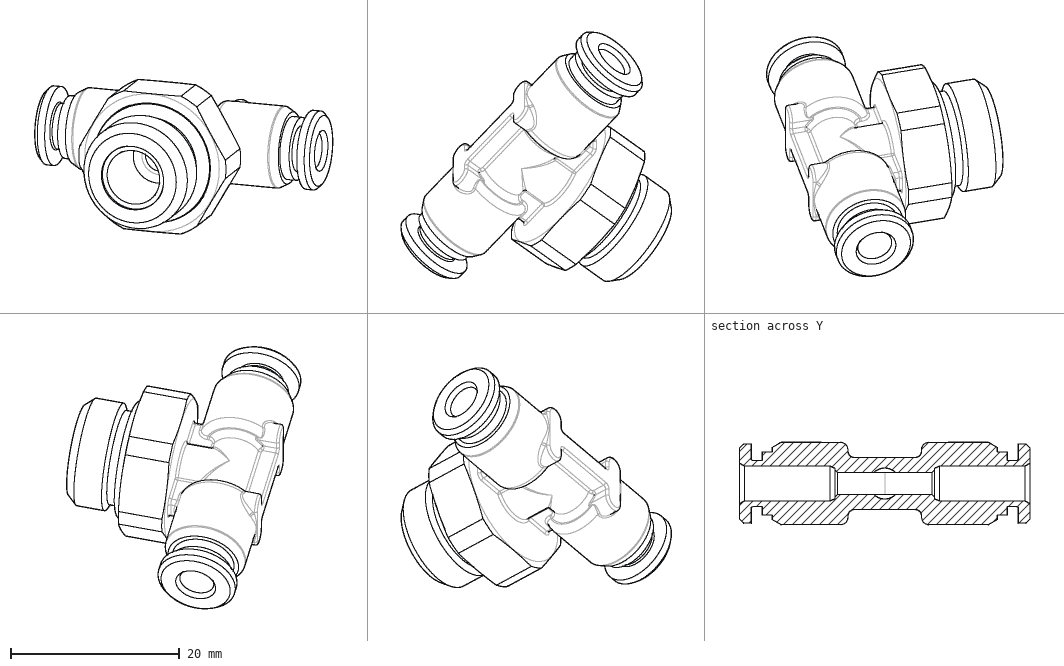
import cadquery as cq
import math

RUN_HALF_LENGTH = 17.25
TUBE_RADIUS = 4.9
WAIST_RADIUS = 3.1
WAIST_HALF_LENGTH = 3.6
SHOULDER_OUTER_ROUND = 0.86
SHOULDER_INNER_ROUND = 0.75
TUBE_HALF_LENGTH = 13.36
TUBE_END_RADIUS = 4.3
TUBE_CONE_LENGTH = 1.05
TUBE_CONE_ROUND = 0.3

COLLAR_SLEEVE_RADIUS = 3.76
COLLAR_SLEEVE_END = 14.53
COLLAR_NECK_RADIUS = 2.74
COLLAR_NECK_FLARE = 0.25
COLLAR_NECK_FLARE_RADIUS = 2.85
COLLAR_FLANGE_RADIUS = 4.72
COLLAR_FLANGE_START = 15.82
COLLAR_FLANGE_CHAMFER = 0.5

CROSS_BORE_RADIUS = 1.28
SOCKET_RADIUS = 2.07
SOCKET_MOUTH_RADIUS = 2.43
SOCKET_MOUTH_DEPTH = 0.6
SOCKET_FLOOR = 6.5
SOCKET_CONE_RADIUS = 1.8
SOCKET_CONE_LENGTH = 0.6
SEAT_RADIUS = 1.55

PAD_FACE = 5.0
PAD_ROOT = 2.0
PEG_OFFSET = 5.6
PEG_RADIUS = 1.3
PEG_HALF_HEIGHT = 4.0
WEB_HALF_THICKNESS = 1.38
PAD_CORNER_ROUND = 0.4
PAD_EDGE_ROUND = 0.3
PAD_ROOT_ROUND = 0.4

RIB_HALF_WIDTH = 6.5
RIB_CORNER_ROUND = 0.5
RIB_ROOT_ROUND = 0.3

HEX_BACK = 5.9
HEX_FRONT = 11.5
HEX_ACROSS_FLATS = 17.0
HEX_CORNER_RADIUS = 9.23
HEX_FACE_RADIUS = 8.45
HEX_CHAMFER_DEPTH = 0.15
NECK_RADIUS = 5.7
THREAD_START = 13.6
THREAD_RADIUS = 6.5
THREAD_RUN_IN = 0.45
STUD_END = 18.55
STUD_END_RADIUS = 5.5
STUD_END_CHAMFER = 1.13

BRANCH_BORE_RADIUS = 1.82
STUD_BORE_MOUTH_RADIUS = 3.3
STUD_BORE_FLOOR_RADIUS = 3.04
STUD_BORE_FLOOR = 9.5
STUD_CONE_END_RADIUS = 2.16
STUD_CONE_LENGTH = 0.6
BRANCH_MOUTH_LENGTH = 0.3
COUNTERBORE_RADIUS = 3.9
COUNTERBORE_DEPTH = 0.35

RING_SECTION_RADIUS = 0.78
RING_CENTRE_RADIUS = NECK_RADIUS + RING_SECTION_RADIUS
RING_STATION = 11.7
RING_RECESS_CLEARANCE = 0.08

PICK_MARGIN = 0.01
EDGE_DECIMALS = 3


def turned_about_x(outline):
    """Revolve a closed XY outline around the run axis."""
    return outline.close().revolve(360, (0, 0, 0), (1, 0, 0))


def turned_about_y(points):
    """Revolve (radius, station) points around the stud axis; stations run along -Y."""
    outline = cq.Workplane("XY").polyline([(radius, -station) for radius, station in points])
    return outline.close().revolve(360, (0, 0, 0), (0, 1, 0))


def both_sides(half):
    """Join a +X half with its mirror image."""
    return half.union(half.mirror("YZ"))


def run_core():
    inner_end = WAIST_HALF_LENGTH + SHOULDER_INNER_ROUND
    outer_end = inner_end + SHOULDER_OUTER_ROUND
    cone_start = TUBE_HALF_LENGTH - TUBE_CONE_LENGTH
    half = turned_about_x(
        cq.Workplane("XY")
        .moveTo(0, 0)
        .lineTo(0, WAIST_RADIUS)
        .lineTo(WAIST_HALF_LENGTH, WAIST_RADIUS)
        .radiusArc((inner_end, WAIST_RADIUS + SHOULDER_INNER_ROUND), -SHOULDER_INNER_ROUND)
        .lineTo(inner_end, TUBE_RADIUS - SHOULDER_OUTER_ROUND)
        .radiusArc((outer_end, TUBE_RADIUS), SHOULDER_OUTER_ROUND)
        .lineTo(cone_start, TUBE_RADIUS)
        .lineTo(TUBE_HALF_LENGTH, TUBE_END_RADIUS)
        .lineTo(TUBE_HALF_LENGTH, 0)
    )
    reach = TUBE_RADIUS + PICK_MARGIN
    cone_edge = cq.selectors.BoxSelector(
        (cone_start - PICK_MARGIN, -reach, -reach),
        (cone_start + PICK_MARGIN, reach, reach),
        boundingbox=True,
    )
    return both_sides(half.edges(cone_edge).fillet(TUBE_CONE_ROUND))


def collars():
    flange_rim = COLLAR_FLANGE_RADIUS - COLLAR_FLANGE_CHAMFER
    half = turned_about_x(
        cq.Workplane("XY")
        .moveTo(TUBE_HALF_LENGTH, 0)
        .lineTo(TUBE_HALF_LENGTH, COLLAR_SLEEVE_RADIUS)
        .lineTo(COLLAR_SLEEVE_END, COLLAR_SLEEVE_RADIUS)
        .lineTo(COLLAR_SLEEVE_END, COLLAR_NECK_RADIUS)
        .lineTo(COLLAR_FLANGE_START - COLLAR_NECK_FLARE, COLLAR_NECK_RADIUS)
        .lineTo(COLLAR_FLANGE_START, COLLAR_NECK_FLARE_RADIUS)
        .lineTo(COLLAR_FLANGE_START, COLLAR_FLANGE_RADIUS)
        .lineTo(RUN_HALF_LENGTH - COLLAR_FLANGE_CHAMFER, COLLAR_FLANGE_RADIUS)
        .lineTo(RUN_HALF_LENGTH, flange_rim)
        .lineTo(RUN_HALF_LENGTH, 0)
    )
    return both_sides(half)


def back_pad():
    """Two upright round-ended pegs joined by a flat web."""
    plane = cq.Workplane("XZ", origin=(0, PAD_ROOT, 0))
    depth = PAD_FACE - PAD_ROOT
    web = plane.rect(2 * PEG_OFFSET, 2 * WEB_HALF_THICKNESS).extrude(-depth)
    pegs = (
        plane.pushPoints([(-PEG_OFFSET, 0), (PEG_OFFSET, 0)])
        .slot2D(2 * PEG_HALF_HEIGHT, 2 * PEG_RADIUS, 90)
        .extrude(-depth)
    )
    pad = web.union(pegs)
    corner_x = PEG_OFFSET - PEG_RADIUS + PICK_MARGIN
    corner_z = WEB_HALF_THICKNESS + PICK_MARGIN
    corners = cq.selectors.BoxSelector((-corner_x, PAD_ROOT, -corner_z), (corner_x, PAD_FACE, corner_z))
    pad = pad.edges("|Y").edges(corners).fillet(PAD_CORNER_ROUND)
    return pad.faces(">Y").edges().fillet(PAD_EDGE_ROUND)


def rib():
    plate = cq.Workplane("XZ").rect(2 * RIB_HALF_WIDTH, 2 * WEB_HALF_THICKNESS).extrude(HEX_BACK)
    return plate.edges("|Y").fillet(RIB_CORNER_ROUND)


def hexagon():
    length = HEX_FRONT - HEX_BACK
    corner_diameter = HEX_ACROSS_FLATS / math.cos(math.pi / 6)
    prism = cq.Workplane("XZ", origin=(0, -HEX_BACK, 0)).polygon(6, corner_diameter).extrude(length)
    envelope = turned_about_y([
        (0, HEX_BACK),
        (HEX_FACE_RADIUS, HEX_BACK),
        (HEX_CORNER_RADIUS, HEX_BACK + HEX_CHAMFER_DEPTH),
        (HEX_CORNER_RADIUS, HEX_FRONT - HEX_CHAMFER_DEPTH),
        (HEX_FACE_RADIUS, HEX_FRONT),
        (0, HEX_FRONT),
    ])
    return prism.intersect(envelope)


def stud():
    return turned_about_y([
        (0, HEX_BACK),
        (NECK_RADIUS, HEX_BACK),
        (NECK_RADIUS, THREAD_START),
        (THREAD_RADIUS, THREAD_START + THREAD_RUN_IN),
        (THREAD_RADIUS, STUD_END - STUD_END_CHAMFER),
        (STUD_END_RADIUS, STUD_END),
        (0, STUD_END),
    ])


def branch():
    """Round pipe from the run axis to the hexagon."""
    return cq.Workplane("XZ").circle(WAIST_RADIUS).extrude(HEX_BACK)


def edge_key(edge):
    """Identify an edge by its centre and length."""
    centre = edge.Center()
    return tuple(round(value, EDGE_DECIMALS) for value in (centre.x, centre.y, centre.z, edge.Length()))


def joined_with_fillets(base, additions, radius):
    """Union the additions to the base and round the new edges where they meet."""
    joined = base
    known = {edge_key(edge) for edge in base.edges().vals()}
    for addition in additions:
        joined = joined.union(addition)
        known.update(edge_key(edge) for edge in addition.edges().vals())
    seams = [edge for edge in joined.edges().vals() if edge_key(edge) not in known]
    return joined.newObject(seams).fillet(radius)


def run_bore():
    """Through bore with a stepped tube socket at each end."""
    cone_end = SOCKET_FLOOR - SOCKET_CONE_LENGTH
    seat_end = cone_end - (SEAT_RADIUS - CROSS_BORE_RADIUS)
    half = turned_about_x(
        cq.Workplane("XY")
        .moveTo(0, 0)
        .lineTo(0, CROSS_BORE_RADIUS)
        .lineTo(seat_end, CROSS_BORE_RADIUS)
        .lineTo(cone_end, SEAT_RADIUS)
        .lineTo(cone_end, SOCKET_CONE_RADIUS)
        .lineTo(SOCKET_FLOOR, SOCKET_RADIUS)
        .lineTo(RUN_HALF_LENGTH - SOCKET_MOUTH_DEPTH, SOCKET_RADIUS)
        .lineTo(RUN_HALF_LENGTH, SOCKET_MOUTH_RADIUS)
        .lineTo(RUN_HALF_LENGTH, 0)
    )
    return both_sides(half)


def stud_bore():
    """Branch bore opening through a cone into the slightly tapered, counterbored stud bore."""
    cone_end = STUD_BORE_FLOOR - STUD_CONE_LENGTH
    counterbore_floor = STUD_END - COUNTERBORE_DEPTH
    return turned_about_y([
        (0, 0),
        (BRANCH_BORE_RADIUS, 0),
        (BRANCH_BORE_RADIUS, cone_end - BRANCH_MOUTH_LENGTH),
        (STUD_CONE_END_RADIUS, cone_end),
        (STUD_BORE_FLOOR_RADIUS, STUD_BORE_FLOOR),
        (STUD_BORE_MOUTH_RADIUS, counterbore_floor),
        (COUNTERBORE_RADIUS, counterbore_floor),
        (COUNTERBORE_RADIUS, STUD_END),
        (0, STUD_END),
    ])


def ring_recess():
    """Annular recess in the hexagon face that takes the back of the O-ring."""
    floor = RING_STATION - RING_SECTION_RADIUS
    outer = RING_CENTRE_RADIUS + RING_SECTION_RADIUS + RING_RECESS_CLEARANCE
    return turned_about_y([
        (NECK_RADIUS, floor),
        (outer, floor),
        (outer, HEX_FRONT),
        (NECK_RADIUS, HEX_FRONT),
    ])


def tee_body():
    body = joined_with_fillets(run_core(), [back_pad()], PAD_ROOT_ROUND)
    body = joined_with_fillets(body, [branch(), rib(), hexagon()], RIB_ROOT_ROUND)
    body = body.union(collars()).union(stud())
    return body.cut(ring_recess()).cut(run_bore()).cut(stud_bore())


def o_ring():
    return (
        cq.Workplane("XY")
        .center(RING_CENTRE_RADIUS, -RING_STATION)
        .circle(RING_SECTION_RADIUS)
        .revolve(360, (-RING_CENTRE_RADIUS, 0, 0), (-RING_CENTRE_RADIUS, 1, 0))
    )


tee = tee_body()
ring = o_ring()

result = cq.Compound.makeCompound([*tee.solids().vals(), ring.val()])